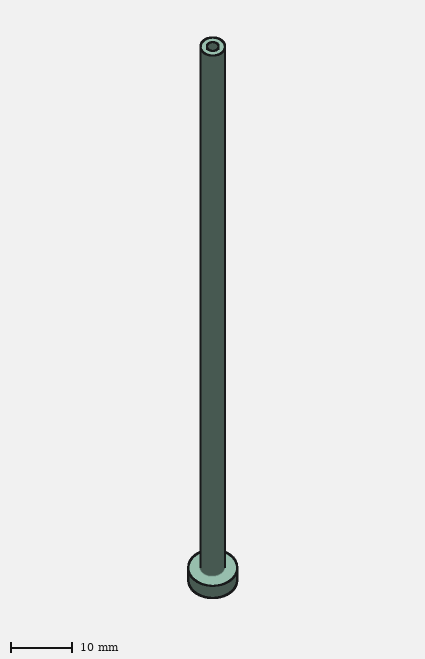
import cadquery as cq

total_length = 128.0
head_diameter = 8.0
head_height = 3.0
shaft_diameter = 4.0
bore_diameter = 1.9
root_fillet_radius = 0.3

shaft_length = total_length - head_height


def make_head():
    """Round head with its underside at Z = 0."""
    return cq.Workplane("XY").circle(head_diameter / 2).extrude(head_height)


def add_shaft(head):
    """Long shaft on the head, with a small fillet around its root."""
    body = head.faces(">Z").workplane().circle(shaft_diameter / 2).extrude(shaft_length)
    shaft_root = cq.selectors.RadiusNthSelector(0)
    root_plane = cq.selectors.NearestToPointSelector((0, 0, head_height))
    return body.edges("%CIRCLE").edges(shaft_root).edges(root_plane).fillet(root_fillet_radius)


def cut_bore(body):
    """Plain central bore through the whole length."""
    bore = cq.Workplane("XY").circle(bore_diameter / 2).extrude(total_length)
    return body.cut(bore)


result = cut_bore(add_shaft(make_head()))